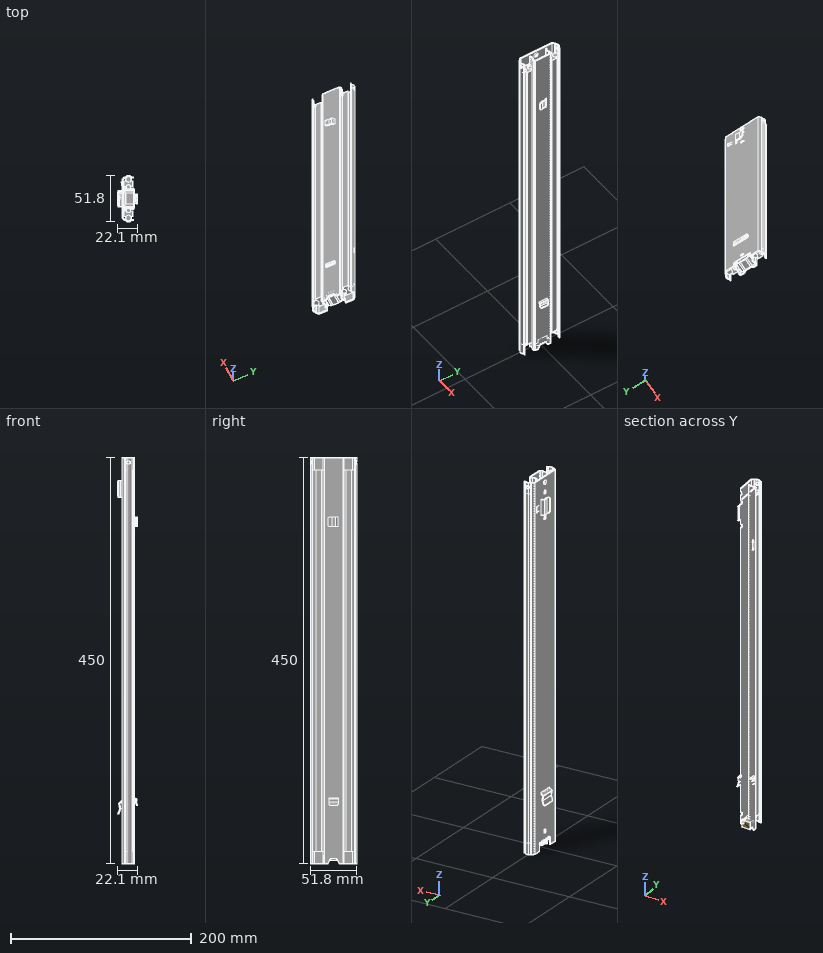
import cadquery as cq
import math


LENGTH = 450.0
SHEET = 1.5
BOTTOM = -LENGTH / 2

RACE_X = 1.0
OUTER_RACE_Y = 21.38
OUTER_BALL_R = 3.0
INNER_RACE_Y = 13.0
INNER_BALL_R = 2.48

OUTER_WEB_X = -6.5
OUTER_WEB_HALF = 21.5
OUTER_CHAMFER = 2.5
BEND = SHEET * math.tan(math.pi / 8)
RACE_ENTRY_X = -2.2
RACE_ENTRY_ANGLE = -22
RACE_EXIT_ANGLE = 55
LIP_X = 6.5

RAIL_GAP = 0.5
MIDDLE_WEB_X = OUTER_WEB_X + SHEET + RAIL_GAP
MIDDLE_LENGTH = 423.0
MIDDLE_ARM_X = 6.0
MIDDLE_ARM_INNER_Y = 13.5
MIDDLE_ARM_OUTER_Y = 20.0

INNER_WEB_X = 7.5
INNER_HALF = 11.5
INNER_CHAMFER = 1.5
INNER_ARM_X = -2.2

HOLE_R = 2.2
HOLE_HEIGHTS = (206.0, 175.0, -204.8)
SINK_HEIGHT = 218.0
SINK_R = 2.5
SINK_HOLE_R = 1.5
DENT_HEIGHT = 219.5
DENT_R = 2.0

OUTER_NOTCH_HALF = 11.2
OUTER_NOTCH_DEPTH = 10.5
OUTER_NOTCH_CHAMFER = 1.5
INNER_NOTCH_HALF = 6.5
INNER_NOTCH_ROOF_HALF = 3.38
INNER_NOTCH_DEPTH = 6.0

STOP_TOP = 13.5
STOP_SHOULDER = 9.0
STOP_WING_LOW = 6.8
STOP_BASE_LOW = 4.5
STOP_NOSE_LOW = 3.5
STOP_BLOCK_X = -2.0
STOP_BLOCK_HALF = 6.08
STOP_WING_HALF = 9.0
STOP_BASE_HALF = 5.5
STOP_NOSE_HALF = 3.38
STOP_HEAD_HALF = 6.8
STOP_HEAD_ROUND = 1.12

LUG_OUTER_Y = 18.5
LUG_INNER_Y = 13.0
LUG_RISE = 1.0
LUG_HEIGHT = 191.2
LUG_WIDTH = 6.8

HOOK_SHEET = 1.5
HOOK_TIP_CHAMFER = 1.5
OUTER_HOOK_RISE = 4.72
INNER_HOOK_RISE = 3.38
OUTER_SIDE_HOOK = dict(ramp=2.5, bend=7.5, length=12.0, shoulder=3.82, dip=3.0, width=19.0)
OUTER_SIDE_HOOK_ROOT = (OUTER_WEB_X, 8.78, 190.5)
OUTER_DOWN_HOOK = dict(ramp=3.0, bend=9.0, length=15.5, shoulder=3.82, dip=2.5, width=18.0)
OUTER_DOWN_HOOK_ROOT = (OUTER_WEB_X, 0, -155.0)
INNER_SIDE_HOOK = dict(ramp=2.5, bend=6.5, length=11.0, shoulder=2.5, dip=2.2, width=11.0)
INNER_SIDE_HOOK_ROOT = (INNER_WEB_X, 4.72, 154.0)
INNER_DOWN_HOOK = dict(ramp=1.0, bend=4.5, length=8.0, shoulder=2.5, dip=2.2, width=11.0)
INNER_DOWN_HOOK_ROOT = (INNER_WEB_X, 0, -152.0)

PLUS_X = cq.Vector(1, 0, 0)
MINUS_X = cq.Vector(-1, 0, 0)
SIDEWAYS = cq.Vector(0, -1, 0)
DOWN = cq.Vector(0, 0, -1)
THROUGH = 90.0


def race_point(center_y, radius, angle):
    """Point on a race, the angle measured from +Y towards +X."""
    a = math.radians(angle)
    return (RACE_X + radius * math.sin(a), center_y + radius * math.cos(a))


def profile_plane(length):
    """Horizontal plane at the lower end of a bar centred on the slide's mid height."""
    return cq.Workplane("XY", origin=(0, 0, -length / 2))


def both_sides(half_outline, length):
    """Bar from the +Y half of a profile and its mirror image."""
    half = half_outline.close().extrude(length)
    return half.union(half.mirror("XZ"))


def ball_bars(center_y, radius, length):
    """Two round bars, one on each side."""
    places = [(RACE_X, center_y), (RACE_X, -center_y)]
    return profile_plane(length).pushPoints(places).circle(radius).extrude(length)


def notch(outline):
    """Cutter with a Y-Z outline, passing through everything along X."""
    return cq.Workplane("YZ").polyline(outline).close().extrude(THROUGH, both=True)


def hook(root, along, out, rise, ramp, bend, length, shoulder, dip, width):
    """Bent strip rising from `root`; `along` runs to its tip and `out` points off the web."""
    outline = [
        (0, 0),
        (ramp, shoulder),
        (bend, dip),
        (length, rise),
        (length, rise - HOOK_SHEET),
        (bend, dip - HOOK_SHEET),
        (ramp + BEND, shoulder - HOOK_SHEET),
        (HOOK_SHEET + BEND, 0),
    ]
    side = cq.Plane(origin=root, xDir=along, normal=along.cross(out))
    strip = cq.Workplane(side).polyline(outline).close().extrude(width / 2, both=True)

    half = width / 2
    corner_start = length - HOOK_TIP_CHAMFER
    tip_half = half - HOOK_TIP_CHAMFER
    blank = [(0, -half), (corner_start, -half), (length, -tip_half)]
    blank += [(u, -v) for u, v in reversed(blank)]
    flat = cq.Plane(origin=root, xDir=along, normal=out)
    return strip.intersect(cq.Workplane(flat).polyline(blank).close().extrude(rise))


def outer_rail_bar():
    """Web, chamfered corner, flange and the race curled round the outer balls."""
    inside_x = OUTER_WEB_X + SHEET
    corner_x = OUTER_WEB_X + OUTER_CHAMFER
    flange_y = OUTER_WEB_HALF + OUTER_CHAMFER
    outer_r = OUTER_BALL_R + SHEET
    flange_inner_y = flange_y - SHEET
    inner_entry = math.degrees(math.acos((flange_inner_y - OUTER_RACE_Y) / OUTER_BALL_R))
    exit_out = race_point(OUTER_RACE_Y, outer_r, RACE_EXIT_ANGLE)
    exit_in = race_point(OUTER_RACE_Y, OUTER_BALL_R, RACE_EXIT_ANGLE)
    outline = (
        profile_plane(LENGTH)
        .moveTo(OUTER_WEB_X, 0)
        .lineTo(OUTER_WEB_X, OUTER_WEB_HALF)
        .lineTo(corner_x, flange_y)
        .lineTo(RACE_ENTRY_X, flange_y)
        .lineTo(*race_point(OUTER_RACE_Y, outer_r, RACE_ENTRY_ANGLE))
        .threePointArc(race_point(OUTER_RACE_Y, outer_r, 0), exit_out)
        .lineTo(LIP_X, exit_out[1])
        .lineTo(LIP_X, exit_in[1])
        .lineTo(*exit_in)
        .threePointArc(
            race_point(OUTER_RACE_Y, OUTER_BALL_R, 0),
            race_point(OUTER_RACE_Y, OUTER_BALL_R, -inner_entry),
        )
        .lineTo(corner_x + BEND, flange_inner_y)
        .lineTo(inside_x, OUTER_WEB_HALF - BEND)
        .lineTo(inside_x, 0)
    )
    return both_sides(outline, LENGTH)


def outer_rail_cuts():
    """Web holes, countersunk hole, ball-stop dents in the races and the bottom notch."""
    web = cq.Workplane("YZ", origin=(OUTER_WEB_X, 0, 0))
    cuts = web.pushPoints([(0, z) for z in HOLE_HEIGHTS]).circle(HOLE_R).extrude(SHEET)
    sink = web.center(0, SINK_HEIGHT).circle(SINK_R).workplane(offset=SHEET).circle(SINK_HOLE_R).loft()
    dents = (
        cq.Workplane("XZ", origin=(RACE_X, 0, DENT_HEIGHT))
        .circle(DENT_R)
        .extrude(THROUGH, both=True)
        .cut(cq.Workplane("XY").box(THROUGH, 2 * OUTER_RACE_Y, LENGTH))
    )
    chamfer_y = OUTER_NOTCH_HALF - OUTER_NOTCH_CHAMFER
    roof = BOTTOM + OUTER_NOTCH_DEPTH
    half = [
        (OUTER_NOTCH_HALF, BOTTOM),
        (OUTER_NOTCH_HALF, roof - OUTER_NOTCH_CHAMFER),
        (chamfer_y, roof),
    ]
    bottom_notch = notch(half + [(-y, z) for y, z in reversed(half)])
    return [cuts, sink, dents, bottom_notch]


def lug():
    """Low wedge on the web, highest towards the edge of the rail."""
    outline = [
        (OUTER_WEB_X, LUG_INNER_Y),
        (OUTER_WEB_X, LUG_OUTER_Y),
        (OUTER_WEB_X - LUG_RISE, LUG_OUTER_Y),
    ]
    plane = cq.Workplane("XY", origin=(0, 0, LUG_HEIGHT - LUG_WIDTH / 2))
    return plane.polyline(outline).close().extrude(LUG_WIDTH)


def make_outer_rail():
    rail = outer_rail_bar()
    for cutter in outer_rail_cuts():
        rail = rail.cut(cutter)
    rail = rail.union(lug())
    rail = rail.union(hook(OUTER_SIDE_HOOK_ROOT, SIDEWAYS, MINUS_X, OUTER_HOOK_RISE, **OUTER_SIDE_HOOK))
    return rail.union(hook(OUTER_DOWN_HOOK_ROOT, DOWN, MINUS_X, OUTER_HOOK_RISE, **OUTER_DOWN_HOOK))


def inner_notch():
    """Tapered opening at the bottom end, through the inner web."""
    roof = BOTTOM + INNER_NOTCH_DEPTH
    return notch([
        (INNER_NOTCH_HALF, BOTTOM),
        (INNER_NOTCH_ROOF_HALF, roof),
        (-INNER_NOTCH_ROOF_HALF, roof),
        (-INNER_NOTCH_HALF, BOTTOM),
    ])


def make_middle_rail():
    """Web with a solid arm on each side, grooved for the outer and the inner balls."""
    inside_x = MIDDLE_WEB_X + SHEET
    outline = (
        profile_plane(MIDDLE_LENGTH)
        .moveTo(MIDDLE_WEB_X, 0)
        .lineTo(MIDDLE_WEB_X, MIDDLE_ARM_OUTER_Y)
        .lineTo(MIDDLE_ARM_X, MIDDLE_ARM_OUTER_Y)
        .lineTo(MIDDLE_ARM_X, MIDDLE_ARM_INNER_Y)
        .lineTo(inside_x, MIDDLE_ARM_INNER_Y)
        .lineTo(inside_x, 0)
    )
    rail = both_sides(outline, MIDDLE_LENGTH)
    rail = rail.cut(ball_bars(OUTER_RACE_Y, OUTER_BALL_R, MIDDLE_LENGTH))
    return rail.cut(ball_bars(INNER_RACE_Y, INNER_BALL_R, MIDDLE_LENGTH))


def make_inner_rail():
    """Web at the far side, with arms reaching back and dished round the inner balls."""
    inside_x = INNER_WEB_X - SHEET
    arm_inner_y = INNER_HALF - SHEET
    dish_r = INNER_BALL_R + SHEET
    dish_half = math.sqrt(dish_r**2 - (INNER_RACE_Y - arm_inner_y) ** 2)
    outline = (
        profile_plane(LENGTH)
        .moveTo(INNER_WEB_X, 0)
        .lineTo(INNER_WEB_X, INNER_HALF - INNER_CHAMFER)
        .lineTo(INNER_WEB_X - INNER_CHAMFER, INNER_HALF)
        .lineTo(INNER_ARM_X, INNER_HALF)
        .lineTo(INNER_ARM_X, arm_inner_y)
        .lineTo(RACE_X - dish_half, arm_inner_y)
        .threePointArc((RACE_X, INNER_RACE_Y - dish_r), (RACE_X + dish_half, arm_inner_y))
        .lineTo(inside_x, arm_inner_y)
        .lineTo(inside_x, 0)
    )
    rail = both_sides(outline, LENGTH)
    rail = rail.cut(ball_bars(INNER_RACE_Y, INNER_BALL_R, LENGTH)).cut(inner_notch())
    rail = rail.union(hook(INNER_SIDE_HOOK_ROOT, SIDEWAYS, PLUS_X, INNER_HOOK_RISE, **INNER_SIDE_HOOK))
    return rail.union(hook(INNER_DOWN_HOOK_ROOT, DOWN, PLUS_X, INNER_HOOK_RISE, **INNER_DOWN_HOOK))


def make_stop():
    """Winged plate below the middle rail, with a block up between the webs and a rounded head."""
    inner_face = INNER_WEB_X - SHEET

    def block(x_start, x_end, half, low, high):
        size = (x_end - x_start, 2 * half, high - low)
        return cq.Workplane("XY", origin=(x_start, -half, BOTTOM + low)).box(*size, centered=False)

    half = [
        (STOP_NOSE_HALF, STOP_NOSE_LOW),
        (STOP_NOSE_HALF, STOP_BASE_LOW),
        (STOP_BASE_HALF, STOP_BASE_LOW),
        (STOP_WING_HALF, STOP_WING_LOW),
        (STOP_WING_HALF, STOP_SHOULDER),
    ]
    outline = half + [(-y, z) for y, z in reversed(half)]
    plate = cq.Workplane("YZ", origin=(MIDDLE_WEB_X, 0, BOTTOM)).polyline(outline).close()
    plate = plate.extrude(inner_face - MIDDLE_WEB_X)
    upper = block(STOP_BLOCK_X, inner_face, STOP_BLOCK_HALF, STOP_SHOULDER, STOP_TOP)
    head = block(OUTER_WEB_X, MIDDLE_WEB_X, STOP_HEAD_HALF, STOP_WING_LOW, STOP_SHOULDER)
    head = head.edges("<X and <Z").fillet(STOP_HEAD_ROUND)
    return plate.union(upper).union(head)


outer_rail = make_outer_rail()
middle_rail = make_middle_rail()
inner_rail = make_inner_rail()
outer_balls = ball_bars(OUTER_RACE_Y, OUTER_BALL_R, MIDDLE_LENGTH)
inner_balls = ball_bars(INNER_RACE_Y, INNER_BALL_R, MIDDLE_LENGTH)
stop = make_stop()

result = cq.Compound.makeCompound([
    outer_rail.val(),
    middle_rail.val(),
    inner_rail.val(),
    *outer_balls.vals(),
    *inner_balls.vals(),
    stop.val(),
])